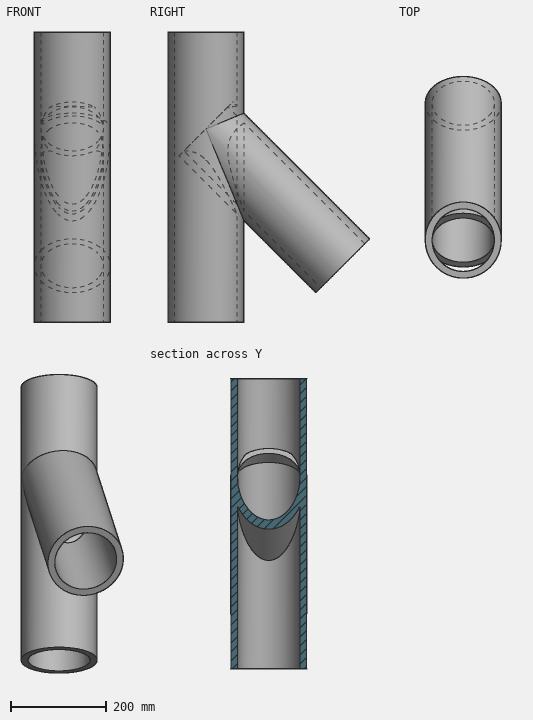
import cadquery as cq

OUTER_DIAMETER = 160.02
WALL = 14.55
MAIN_LENGTH = 609.6
BRANCH_LENGTH = 406.4
JUNCTION_HEIGHT = 406.4
BRANCH_ANGLE = 45.0

BORE_DIAMETER = OUTER_DIAMETER - 2 * WALL


def vertical_pipe(length):
    """Hollow round pipe standing on the XY plane along +Z."""
    return (
        cq.Workplane("XY")
        .circle(OUTER_DIAMETER / 2)
        .circle(BORE_DIAMETER / 2)
        .extrude(length)
    )


def branch_pipe():
    """Square-ended pipe running from the junction outward to +Y and down."""
    tilt = 180.0 - BRANCH_ANGLE
    return (
        vertical_pipe(BRANCH_LENGTH)
        .rotate((0, 0, 0), (1, 0, 0), -tilt)
        .translate((0, 0, JUNCTION_HEIGHT))
    )


result = vertical_pipe(MAIN_LENGTH).union(branch_pipe())